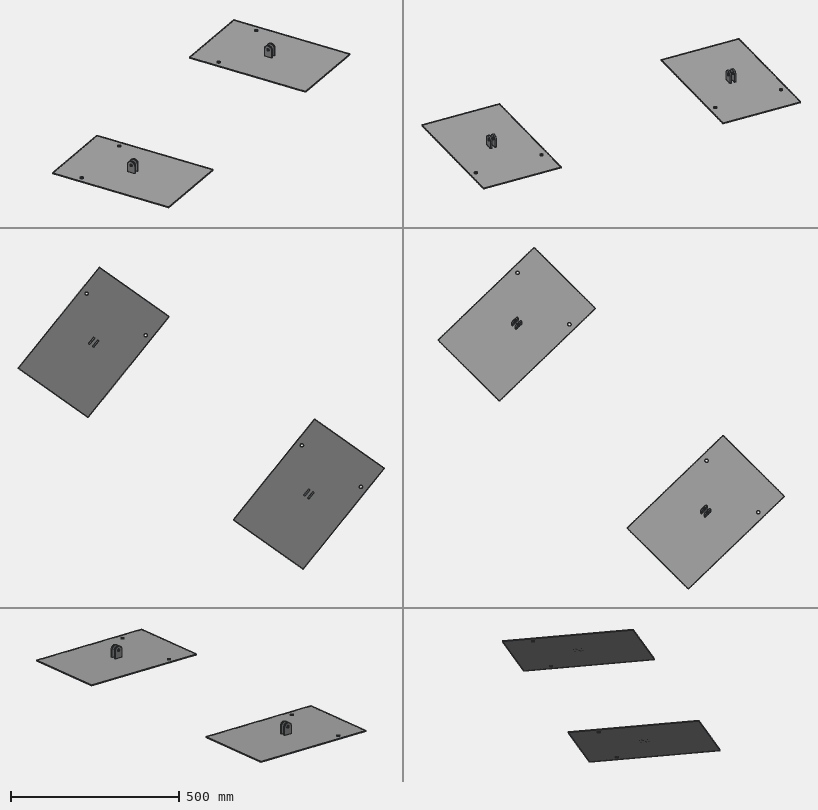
import cadquery as cq

plate_length = 400.0
plate_width = 259.0
plate_thickness = 3.0
overall_width = 1059.0
plate_pitch = overall_width - plate_width

mount_hole_diameter = 10.0
mount_hole_end_distance = 89.0
mount_hole_side_distance = 20.0

overall_height = 40.0
lug_width = 25.0
lug_thickness = 5.0
lug_gap = 10.0
lug_hole_diameter = 8.2
lug_radius = lug_width / 2
lug_eye_height = overall_height - lug_radius
lug_offset = (lug_gap + lug_thickness) / 2


def make_lug(center_y):
    """Round-topped upright tab with a cross hole, standing on the plate."""
    profile = (
        cq.Workplane("XZ", origin=(0, center_y + lug_thickness / 2, 0))
        .moveTo(-lug_radius, 0)
        .lineTo(lug_radius, 0)
        .lineTo(lug_radius, lug_eye_height)
        .threePointArc((0, overall_height), (-lug_radius, lug_eye_height))
        .close()
        .moveTo(0, lug_eye_height)
        .circle(lug_hole_diameter / 2)
    )
    return profile.extrude(lug_thickness)


def make_bracket_plate(center_y):
    """Flat plate with two mounting holes and a central pair of lugs."""
    hole_x = -plate_length / 2 + mount_hole_end_distance
    hole_y = plate_width / 2 - mount_hole_side_distance
    plate = (
        cq.Workplane("XY")
        .box(plate_length, plate_width, plate_thickness, centered=(True, True, False))
        .faces(">Z")
        .workplane(origin=(0, 0, plate_thickness))
        .pushPoints([(hole_x, -hole_y), (hole_x, hole_y)])
        .hole(mount_hole_diameter)
    )
    for side in (-1, 1):
        plate = plate.union(make_lug(side * lug_offset))
    return plate.translate((0, center_y, 0))


bracket_plates = []
for side in (-1, 1):
    bracket_plates.append(make_bracket_plate(side * plate_pitch / 2).val())

result = cq.Compound.makeCompound(bracket_plates)